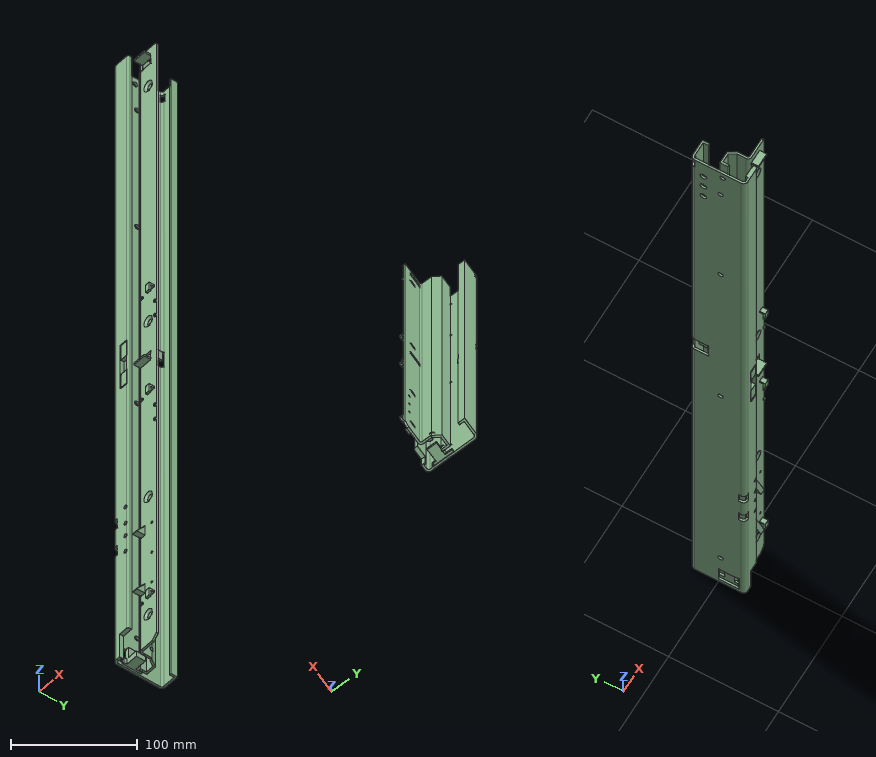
import cadquery as cq
import math

LENGTH = 650.0
END_SETBACK = 2.0
RAIL_LENGTH = LENGTH - END_SETBACK
SHEET = 2.0
SLANT = math.sqrt(0.5)

RAIL_HEIGHT = 50.0
RAIL_FLANGE = 19.0
RAIL_BEND = 4.0
HEM_START = 7.0
HEM_THICKNESS = 2 * SHEET
HEM_ROUND = SHEET
LIP_HEIGHT = 6.5
WEB_CUT_X = 2 * SHEET

ROUND_HOLE_DIA = 6.0
ROUND_HOLE_Y = 38.5
ROUND_HOLE_Z = (599.0, 615.0, 630.5)
RIVET_HOLE_DIA = 4.5
RIVET_HOLES = ((23.0, 40.0), (23.0, 296.5), (23.0, 489.0), (23.0, 615.5), (21.0, 643.0))

TAB_WINDOW_Y = 34.0
TAB_WINDOW_Z = (350.5, 366.0)
TAB_TOP_Y = 45.0
TAB_REACH_X = 6.5
TAB_RAMP = 3.0
TAB_Z = (353.0, 362.0)

TOP_CORNER_SLOT_Z = (639.0, 646.0)
LOW_CORNER_SLOT_HEIGHT = 10.0
LOW_CORNER_SLOT_Z = (116.0, 145.0)
CORNER_SLOT_X = 5.0
LOW_CORNER_SLOT_Y = 6.5
TOP_CORNER_SLOT_Y = 4.0

SMALL_HOLE_DIA = 3.0
SMALL_HOLE_X = 15.5
SMALL_HOLE_Z = (112.0, 129.0, 142.5, 160.0)

RECESS_X = (9.0, 17.0)
RECESS_Z = (294.0, 340.5)
RECESS_DEPTH = 0.5
RECESS_WINDOW_Z = (309.5, 325.0)

END_NOTCH_X = 8.5
END_NOTCH_TOP = 26.5
STOP_WINDOW_Y = (6.0, 25.0)
STOP_WINDOW_Z = (6.0, 21.5)

SLIDE_WIDTH = 44.0
HOOK_X = 8.0
HOOK_TIP_Y = 20.0
SLIDE_TOP_Y = 28.0
SLIDE_WALL_X = 23.5
SHOULDER_WIDTH = 4.5
SHOULDER_DROP = 7.0
FLANGE_BACK_Y = 10.5
FLANGE_FRONT_Y = FLANGE_BACK_Y - SHEET
FOOT_RADIUS = 3.0
LOWER_CORNER_CUT = 5.0
UPPER_CORNER_CUT = 1.0
PEEP_HOLE_DIA = 4.0
PEEP_HOLE_YZ = (21.0, 12.0)

SCREW_X = 34.0
SCREW_Z = (34.5, 162.5, 353.5, 610.0)
SCREW_DIA = 6.0
SCREW_HEAD_DIA = 10.5
PILOT_DIA = 2.0
PILOT_X = 38.5
PILOT_Z = (66.0, 99.0, 131.0)

SLOT_X = (24.0, 37.0)
SLOT_HEIGHT = 10.0
SLOT_TAB_REACH = 6.5
SLOTS = ((632.5, True), (309.5, False))

CLIP_X = (37.0, 41.5)
CLIP_HEIGHT = 8.0
CLIP_REACH = 5.0
CLIP_Z = (51.0, 273.0, 383.5)
RIB_X = (25.0, 28.0)
RIB_SIZE = 1.0
LATCH_X = (25.0, 30.0)
LATCH_HEIGHT = 10.5
LATCH_Z = (65.5, 129.0)
EDGE_NUB_WIDTH = 2.0
EDGE_NUB_HEIGHT = 2.0
EDGE_NUB_REACH = 1.0
EDGE_NUB_Z = (240.0, 255.5, 353.0, 368.5)

STOP_Y = (11.0, HOOK_TIP_Y)
STOP_FOOT_X = 15.5
STOP_FOOT_Z = (4.0, 10.0)
STOP_POST_X = 6.0
STOP_POST_TOP = 21.0
STOP_PLATE_Y = (8.0, 26.5)


def box(x_range, y_range, z_range):
    """A block between the given pairs of limits."""
    size = [limits[1] - limits[0] for limits in (x_range, y_range, z_range)]
    corner = (x_range[0], y_range[0], z_range[0])
    return cq.Workplane("XY").box(*size, centered=False).translate(corner)


def centered_range(middle, size):
    return middle - size / 2, middle + size / 2


def hole_along_x(y, z, diameter, x_start, depth):
    return cq.Workplane("YZ", origin=(x_start, y, z)).circle(diameter / 2).extrude(depth)


def hole_along_y(x, z, diameter, y_start, depth):
    """A cylinder from y_start toward +Y."""
    return cq.Workplane("XZ", origin=(x, y_start, z)).circle(diameter / 2).extrude(-depth)


def rail_channel():
    outside = (
        cq.Workplane("XY", origin=(0, 0, END_SETBACK))
        .rect(RAIL_FLANGE, RAIL_HEIGHT, centered=False)
        .extrude(RAIL_LENGTH)
        .edges("|Z and <X").fillet(RAIL_BEND)
        .edges("|Z and >X and <Y").fillet(HEM_ROUND)
    )
    inside = (
        cq.Workplane("XY", origin=(SHEET, SHEET, END_SETBACK))
        .rect(RAIL_FLANGE, RAIL_HEIGHT - 2 * SHEET, centered=False)
        .extrude(RAIL_LENGTH)
        .edges("|Z and <X").fillet(RAIL_BEND - SHEET)
    )
    z_range = (END_SETBACK, LENGTH)
    hem = box((HEM_START, RAIL_FLANGE), (0, HEM_THICKNESS), z_range)
    hem = hem.edges("|Z and >X and <Y").fillet(HEM_ROUND)
    lip = box((RAIL_FLANGE - SHEET, RAIL_FLANGE), (RAIL_HEIGHT - LIP_HEIGHT, RAIL_HEIGHT), z_range)
    return outside.cut(inside).union(hem).union(lip)


def rail_tab():
    """Tab bent inward from the edge of the web window, running parallel to the web."""
    y0 = TAB_WINDOW_Y
    inner_x = TAB_REACH_X - SHEET
    outline = [
        (0, y0 - TAB_RAMP),
        (SHEET, y0 - TAB_RAMP),
        (TAB_REACH_X, y0 + TAB_RAMP / 2),
        (TAB_REACH_X, TAB_TOP_Y),
        (inner_x, TAB_TOP_Y),
        (inner_x, y0 + TAB_RAMP),
        (0, y0),
    ]
    return (
        cq.Workplane("XY", origin=(0, 0, TAB_Z[0]))
        .polyline(outline).close().extrude(TAB_Z[1] - TAB_Z[0])
    )


def make_rail():
    rail = rail_channel()
    web_x = (0, WEB_CUT_X)
    for z in ROUND_HOLE_Z:
        rail = rail.cut(hole_along_x(ROUND_HOLE_Y, z, ROUND_HOLE_DIA, 0, WEB_CUT_X))
    for y, z in RIVET_HOLES:
        rail = rail.cut(hole_along_x(y, z, RIVET_HOLE_DIA, 0, WEB_CUT_X))

    rail = rail.cut(box(web_x, (TAB_WINDOW_Y, RAIL_HEIGHT), TAB_WINDOW_Z)).union(rail_tab())

    top_slot_y = (RAIL_HEIGHT - TOP_CORNER_SLOT_Y, RAIL_HEIGHT)
    rail = rail.cut(box((0, CORNER_SLOT_X), top_slot_y, TOP_CORNER_SLOT_Z))
    for z in LOW_CORNER_SLOT_Z:
        slot_z = (z, z + LOW_CORNER_SLOT_HEIGHT)
        rail = rail.cut(box((0, CORNER_SLOT_X), (0, LOW_CORNER_SLOT_Y), slot_z))

    for z in SMALL_HOLE_Z:
        rail = rail.cut(hole_along_y(SMALL_HOLE_X, z, SMALL_HOLE_DIA, 0, SHEET))
    rail = rail.cut(box(RECESS_X, (0, RECESS_DEPTH), RECESS_Z))
    rail = rail.cut(box(RECESS_X, (0, HEM_THICKNESS), RECESS_WINDOW_Z))
    rail = rail.cut(box((END_NOTCH_X, RAIL_FLANGE), (0, HEM_THICKNESS), (0, END_NOTCH_TOP)))

    return rail.cut(box(web_x, STOP_WINDOW_Y, STOP_WINDOW_Z))


def slide_profile():
    shoulder_x = SLIDE_WALL_X - SHOULDER_WIDTH
    shoulder_y = SLIDE_TOP_Y - SHOULDER_DROP
    lean = math.atan2(SHOULDER_WIDTH, SHOULDER_DROP)
    corner_shift_x = SHEET * math.tan((math.pi / 2 - lean) / 2)
    corner_shift_y = SHEET * math.tan(lean / 2)
    wall_inner_x = SLIDE_WALL_X - SHEET
    foot_inner = FOOT_RADIUS - SHEET
    foot_x = wall_inner_x + FOOT_RADIUS
    foot_y = FLANGE_FRONT_Y + FOOT_RADIUS

    def foot_point(radius):
        return foot_x - radius * SLANT, foot_y - radius * SLANT

    return (
        cq.Workplane("XY")
        .moveTo(HOOK_X, HOOK_TIP_Y)
        .lineTo(HOOK_X, SLIDE_TOP_Y)
        .lineTo(shoulder_x, SLIDE_TOP_Y)
        .lineTo(SLIDE_WALL_X, shoulder_y)
        .lineTo(SLIDE_WALL_X, foot_y)
        .threePointArc(foot_point(foot_inner), (foot_x, FLANGE_BACK_Y))
        .lineTo(SLIDE_WIDTH, FLANGE_BACK_Y)
        .lineTo(SLIDE_WIDTH, FLANGE_FRONT_Y)
        .lineTo(foot_x, FLANGE_FRONT_Y)
        .threePointArc(foot_point(FOOT_RADIUS), (wall_inner_x, foot_y))
        .lineTo(wall_inner_x, shoulder_y - corner_shift_y)
        .lineTo(shoulder_x - corner_shift_x, SLIDE_TOP_Y - SHEET)
        .lineTo(HOOK_X + SHEET, SLIDE_TOP_Y - SHEET)
        .lineTo(HOOK_X + SHEET, HOOK_TIP_Y)
        .close()
    )


def screw_cutter(z):
    """Countersunk hole opening toward -Y."""
    return (
        cq.Workplane("XZ", origin=(SCREW_X, FLANGE_FRONT_Y, z))
        .circle(SCREW_HEAD_DIA / 2)
        .workplane(offset=-SHEET)
        .circle(SCREW_DIA / 2)
        .loft()
    )


def slot_tab(z, at_upper_edge):
    edge = z + SLOT_HEIGHT - SHEET if at_upper_edge else z
    return box(SLOT_X, (FLANGE_FRONT_Y - SLOT_TAB_REACH, FLANGE_BACK_Y), (edge, edge + SHEET))


def clip(z):
    """L-shaped hook: an arm standing off the flange and a lip hanging from its end."""
    bottom, top = centered_range(z, CLIP_HEIGHT)
    tip_y = FLANGE_FRONT_Y - CLIP_REACH
    arm = box(CLIP_X, (tip_y, FLANGE_FRONT_Y), (top - SHEET, top))
    lip = box(CLIP_X, (tip_y, tip_y + SHEET), (bottom, top))
    return arm.union(lip)


def latch(z):
    """Wedge standing off the flange, reaching the front plane of the rail at its bottom."""
    bottom, top = centered_range(z, LATCH_HEIGHT)
    return (
        cq.Workplane("YZ", origin=(LATCH_X[0], 0, 0))
        .polyline([(FLANGE_FRONT_Y, bottom), (FLANGE_FRONT_Y, top), (0, bottom)])
        .close()
        .extrude(LATCH_X[1] - LATCH_X[0])
    )


def make_slide():
    slide = slide_profile().extrude(LENGTH)
    slide = slide.cut(box((HOOK_X, SLIDE_WIDTH), (0, HOOK_TIP_Y), (0, END_SETBACK)))
    slide = slide.faces(">X").edges("<Z").chamfer(LOWER_CORNER_CUT)
    slide = slide.faces(">X").edges(">Z").chamfer(UPPER_CORNER_CUT)

    for z in SCREW_Z:
        slide = slide.cut(screw_cutter(z))
    for z in PILOT_Z:
        slide = slide.cut(hole_along_y(PILOT_X, z, PILOT_DIA, FLANGE_FRONT_Y, SHEET))
    slide = slide.cut(hole_along_x(*PEEP_HOLE_YZ, PEEP_HOLE_DIA, HOOK_X, SLIDE_WALL_X - HOOK_X))

    for z, at_upper_edge in SLOTS:
        slide = slide.cut(box(SLOT_X, (0, FLANGE_BACK_Y), (z, z + SLOT_HEIGHT)))
        slide = slide.union(slot_tab(z, at_upper_edge))

    for z in CLIP_Z:
        rib_y = (FLANGE_FRONT_Y - RIB_SIZE, FLANGE_FRONT_Y)
        slide = slide.union(clip(z)).union(box(RIB_X, rib_y, centered_range(z, RIB_SIZE)))
    for z in LATCH_Z:
        slide = slide.union(latch(z))
    for z in EDGE_NUB_Z:
        nub_x = (SLIDE_WIDTH - EDGE_NUB_WIDTH, SLIDE_WIDTH)
        nub_y = (FLANGE_FRONT_Y - EDGE_NUB_REACH, FLANGE_FRONT_Y)
        slide = slide.union(box(nub_x, nub_y, centered_range(z, EDGE_NUB_HEIGHT)))
    return slide


def make_stop():
    """Foot, post and thin back plate resting against the inside of the rail web."""
    foot = box((SHEET, STOP_FOOT_X), STOP_Y, STOP_FOOT_Z)
    post = box((SHEET, STOP_POST_X), STOP_Y, (STOP_FOOT_Z[0], STOP_POST_TOP))
    plate = box((SHEET, 2 * SHEET), STOP_PLATE_Y, STOP_FOOT_Z)
    return foot.union(post).union(plate)


rail = make_rail()
slide = make_slide()
stop = make_stop()

result = cq.Compound.makeCompound([body.solids().val() for body in (rail, slide, stop)])